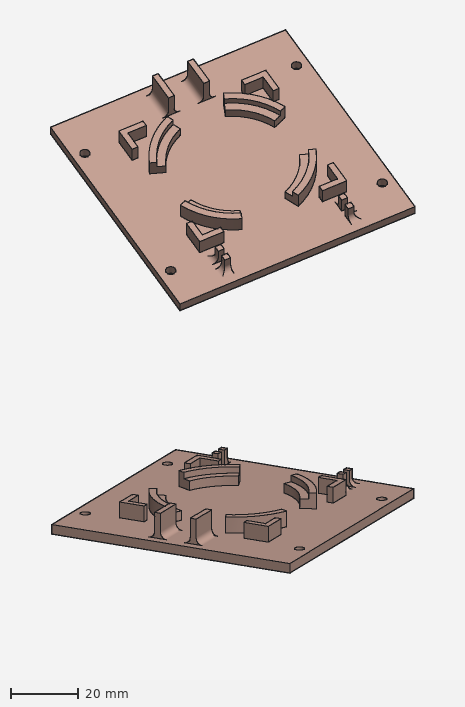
import cadquery as cq
import math

plate_side = 80.0
plate_thickness = 3.0

hole_diameter = 3.0
hole_left_x = -26.0
hole_right_x = 27.0
hole_y = 36.0

wall_thickness = 2.0
cove_radius = 2.0

stop_top_z = 8.0
stop_height = stop_top_z - plate_thickness
stop_span = 50.0
bracket_reach = stop_span / 2
bracket_arm = 8.2

support_inner_radius = 20.0
support_step_radius = 22.7
support_outer_radius = stop_span / 2
support_ledge_top_z = 6.0
support_ledge_height = support_ledge_top_z - plate_thickness
support_start_angle = 22.5
support_end_angle = 90.0 - support_start_angle

tall_wall_height = 8.0
tall_wall_length = 10.0
tall_wall_middle_x = -32.0
tall_wall_left_x = tall_wall_middle_x - tall_wall_length / 2
tall_wall_y = 6.0

post_pair_x = 32.0
post_inner_y = 20.0
post_gap = 2.0


def plate_with_holes():
    hole_points = [(x, y) for x in (hole_left_x, hole_right_x) for y in (-hole_y, hole_y)]
    plate = cq.Workplane("XY").rect(plate_side, plate_side).extrude(plate_thickness)
    return plate.cut(
        cq.Workplane("XY").pushPoints(hole_points).circle(hole_diameter / 2).extrude(plate_thickness)
    )


def corner_bracket():
    """L-shaped stop in the +X +Y quadrant, its corner pointing outwards."""
    outer = bracket_reach
    inner = outer - wall_thickness
    end = outer - bracket_arm
    outline = [(end, outer), (outer, outer), (outer, end), (inner, end), (inner, inner), (end, inner)]
    return cq.Workplane("XY", origin=(0, 0, plate_thickness)).polyline(outline).close().extrude(stop_height)


def polar_point(radius, angle):
    turn = math.radians(angle)
    return (radius * math.cos(turn), radius * math.sin(turn))


def ring_sector(inner_radius, outer_radius, height):
    """Piece of a ring around the plate centre, standing on the plate."""
    middle_angle = (support_start_angle + support_end_angle) / 2
    return (
        cq.Workplane("XY", origin=(0, 0, plate_thickness))
        .moveTo(*polar_point(inner_radius, support_start_angle))
        .lineTo(*polar_point(outer_radius, support_start_angle))
        .threePointArc(
            polar_point(outer_radius, middle_angle), polar_point(outer_radius, support_end_angle)
        )
        .lineTo(*polar_point(inner_radius, support_end_angle))
        .threePointArc(
            polar_point(inner_radius, middle_angle), polar_point(inner_radius, support_start_angle)
        )
        .close()
        .extrude(height)
    )


def curved_support():
    """Arc-shaped rim with a lower ledge on its inner side."""
    ledge = ring_sector(support_inner_radius, support_outer_radius, support_ledge_height)
    rim = ring_sector(support_step_radius, support_outer_radius, stop_height)
    return ledge.union(rim)


def half_coved_profile(plane, thickness, height):
    """Wall section with a plain face at 0 and a concave cove at the foot of its other face."""
    arc_offset = cove_radius * (1 - math.sqrt(0.5))
    return (
        cq.Workplane(plane)
        .lineTo(thickness + cove_radius, 0)
        .threePointArc((thickness + arc_offset, arc_offset), (thickness, cove_radius))
        .lineTo(thickness, height)
        .lineTo(0, height)
        .close()
    )


def tall_wall():
    """Wall lying along X, centred on Y = 0, coved on both faces."""
    half = half_coved_profile("YZ", wall_thickness / 2, tall_wall_height).extrude(tall_wall_length)
    return half.union(half.mirror("XZ"))


def coved_post():
    """Square post with plain -X and -Y faces and coves mitred around its +X +Y corner."""
    foot = wall_thickness + cove_radius
    along_y = half_coved_profile("XZ", wall_thickness, stop_height).extrude(-foot)
    along_x = half_coved_profile("YZ", wall_thickness, stop_height).extrude(foot)
    return along_y.intersect(along_x)


def post_pair():
    """Two posts standing plain face to plain face, coved towards +Y."""
    right_post = coved_post().translate((post_gap / 2, 0, 0))
    pair = right_post.union(right_post.mirror("YZ"))
    return pair.translate((post_pair_x, post_inner_y, plate_thickness))


result = plate_with_holes()

quadrant_stops = [corner_bracket(), curved_support()]
for quarter_turn in range(4):
    for stop in quadrant_stops:
        result = result.union(stop.rotate((0, 0, 0), (0, 0, 1), 90 * quarter_turn))

for wall_y in (-tall_wall_y, tall_wall_y):
    result = result.union(tall_wall().translate((tall_wall_left_x, wall_y, plate_thickness)))

upper_posts = post_pair()
result = result.union(upper_posts).union(upper_posts.mirror("XZ"))